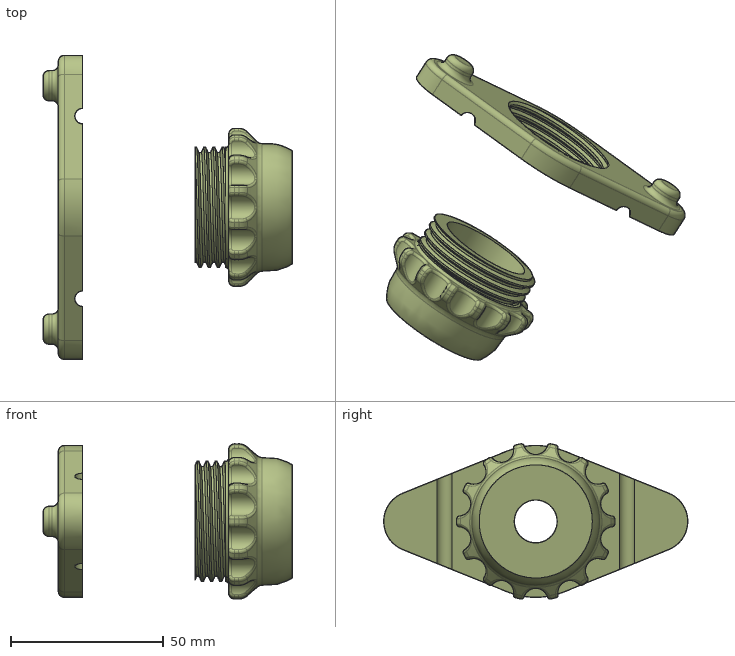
import cadquery as cq
import math

plate_thickness = 8.0
hub_radius = 25.0
ear_radius = 10.0
ear_offset = 40.0
plate_edge_fillet = 2.0

boss_radius = 5.0
boss_height = 5.0
boss_fillet = 2.0

groove_radius = 2.5
groove_offset = 30.0

thread_pitch = 3.0
thread_base_width = 2.2
thread_crest_width = 0.6
thread_root_overlap = 0.2
hole_minor_radius = 37.2 / 2
hole_major_radius = 40.5 / 2
plug_minor_radius = 36.2 / 2
plug_major_radius = 39.6 / 2
plug_crest_offset = 0.9

plug_start = 45.0
plug_length = 32.0
neck_length = 10.0
grip_start = 11.0
grip_radius = 26.0
grip_rim_length = 5.0
grip_cone_length = 5.0
grip_front_fillet = 2.0
grip_shoulder_fillet = 4.0
nose_blend_fillet = 2.5
nose_taper_length = 5.0
nose_middle_radius = 20.7
nose_end_radius = 18.6
nose_end_slope = (1, -0.6)

bore_radius = 15.0
bore_depth = 15.0
outlet_radius = 14.0 / 2

scallop_count = 14
scallop_radius = 4.0
scallop_floor_radius = 22.0
scallop_edge_fillet = 1.0

position_tolerance = 0.01


def axial_cylinder(start, length, radius, y=0.0, z=0.0):
    """Cylinder parallel to X."""
    return cq.Workplane("YZ", origin=(start, y, z)).circle(radius).extrude(length)


def thread_ridge(start, turns, root_radius, crest_radius):
    """Right-handed trapezoidal ridge around the X axis, starting at Z+ and overlapping its root cylinder."""
    flank_slope = (thread_base_width - thread_crest_width) / 2 / (crest_radius - root_radius)
    inner_half = thread_base_width / 2 + thread_root_overlap * flank_slope
    crest_half = thread_crest_width / 2
    inner_radius = root_radius - thread_root_overlap
    path = cq.Wire.makeHelix(
        thread_pitch, turns * thread_pitch, root_radius, cq.Vector(start, 0, 0), cq.Vector(1, 0, 0)
    )
    profile = [
        (start - inner_half, inner_radius),
        (start - crest_half, crest_radius),
        (start + crest_half, crest_radius),
        (start + inner_half, inner_radius),
    ]
    return cq.Workplane("XZ").polyline(profile).close().sweep(cq.Workplane(path), isFrenet=True)


def ring_edge(body, x, radius):
    """Circular edges of a given radius at a given X."""

    def is_ring(edge):
        return (
            edge.geomType() == "CIRCLE"
            and abs(edge.Center().x - x) < position_tolerance
            and abs(edge.radius() - radius) < position_tolerance
        )

    return body.edges().filter(is_ring)


def plate_blank():
    """Hub arc and two ear arcs joined by their common tangent lines."""
    lean = (hub_radius - ear_radius) / ear_offset
    rise = math.sqrt(1 - lean**2)
    hub_y, hub_z = hub_radius * lean, hub_radius * rise
    ear_y, ear_z = ear_offset + ear_radius * lean, ear_radius * rise
    ear_tip = ear_offset + ear_radius
    blank = (
        cq.Workplane("YZ")
        .moveTo(hub_y, hub_z)
        .lineTo(ear_y, ear_z)
        .threePointArc((ear_tip, 0), (ear_y, -ear_z))
        .lineTo(hub_y, -hub_z)
        .threePointArc((0, -hub_radius), (-hub_y, -hub_z))
        .lineTo(-ear_y, -ear_z)
        .threePointArc((-ear_tip, 0), (-ear_y, ear_z))
        .lineTo(-hub_y, hub_z)
        .threePointArc((0, hub_radius), (hub_y, hub_z))
        .close()
        .extrude(plate_thickness)
    )
    return blank.faces("<X").edges().fillet(plate_edge_fillet)


def build_plate():
    plate = plate_blank()
    for side in (-1, 1):
        boss = axial_cylinder(-boss_height, boss_height + plate_edge_fillet, boss_radius, y=side * ear_offset)
        plate = plate.union(boss)
        groove = (
            cq.Workplane("XY", origin=(plate_thickness, side * groove_offset, 0))
            .circle(groove_radius)
            .extrude(hub_radius, both=True)
        )
        plate = plate.cut(groove)
    plate = ring_edge(plate, 0, boss_radius).fillet(boss_fillet)
    plate = ring_edge(plate, -boss_height, boss_radius).fillet(boss_fillet)

    turns = plate_thickness / thread_pitch + 2
    tap_overrun = 2 * thread_pitch
    tap = axial_cylinder(-tap_overrun, plate_thickness + 2 * tap_overrun, hole_minor_radius)
    tap = tap.union(thread_ridge(-thread_pitch, turns, hole_minor_radius, hole_major_radius))
    return plate.cut(tap)


def grip_and_nose():
    """Turned body: a flared collar, the grip rim, a cone, and a nose that tapers in a smooth curve."""
    collar_start = plug_start + neck_length
    rim_front = plug_start + grip_start
    rim_back = rim_front + grip_rim_length
    cone_end = rim_back + grip_cone_length
    cone_end_radius = grip_radius - grip_cone_length
    nose_end = plug_start + plug_length
    nose_points = [(nose_end - nose_taper_length, nose_middle_radius), (nose_end, nose_end_radius)]

    collar_fillet = rim_front - collar_start
    half_chord = collar_fillet * math.sqrt(0.5)
    collar_mid = (collar_start + half_chord, plug_major_radius + collar_fillet - half_chord)

    body = (
        cq.Workplane("XY")
        .moveTo(collar_start, 0)
        .lineTo(collar_start, plug_major_radius)
        .threePointArc(collar_mid, (rim_front, plug_major_radius + collar_fillet))
        .lineTo(rim_front, grip_radius)
        .lineTo(rim_back, grip_radius)
        .lineTo(cone_end, cone_end_radius)
        .spline(nose_points, tangents=[(1, 0), nose_end_slope], includeCurrent=True)
        .lineTo(nose_end, 0)
        .close()
        .revolve(360, (0, 0, 0), (1, 0, 0))
    )
    body = ring_edge(body, cone_end, cone_end_radius).fillet(nose_blend_fillet)
    body = ring_edge(body, rim_back, grip_radius).fillet(grip_shoulder_fillet)
    return ring_edge(body, rim_front, grip_radius).fillet(grip_front_fillet)


def cut_scallops(body):
    """Finger scallops around the grip, the first at Z+, with rounded edges."""
    axis_radius = scallop_floor_radius + scallop_radius
    angles = [2 * math.pi * index / scallop_count for index in range(scallop_count)]
    axes = [(axis_radius * math.sin(angle), axis_radius * math.cos(angle)) for angle in angles]
    start = plug_start + grip_start
    for y, z in axes:
        body = body.cut(axial_cylinder(start, plug_length - grip_start, scallop_radius, y, z))

    def borders_scallop(edge):
        middle = edge.positionAt(0.5)
        axis_distance = min(math.hypot(middle.y - y, middle.z - z) for y, z in axes)
        return abs(axis_distance - scallop_radius) < position_tolerance

    return body.edges().filter(borders_scallop).fillet(scallop_edge_fillet)


def hollow():
    """Bore whose inner end is rounded all the way in to the smaller outlet."""
    bore_end = plug_start + bore_depth
    rounding = bore_radius - outlet_radius
    half_chord = rounding * math.sqrt(0.5)
    plug_end = plug_start + plug_length
    rounding_middle = (bore_end + half_chord, outlet_radius + half_chord)
    return (
        cq.Workplane("XY")
        .moveTo(plug_start, 0)
        .lineTo(plug_start, bore_radius)
        .lineTo(bore_end, bore_radius)
        .threePointArc(rounding_middle, (bore_end + rounding, outlet_radius))
        .lineTo(plug_end, outlet_radius)
        .lineTo(plug_end, 0)
        .close()
        .revolve(360, (0, 0, 0), (1, 0, 0))
    )


def build_plug():
    plug = cut_scallops(grip_and_nose())

    thread_start = plug_start + plug_crest_offset - thread_pitch
    turns = (neck_length + thread_pitch) / thread_pitch
    thread = thread_ridge(thread_start, turns, plug_minor_radius, plug_major_radius)
    thread = thread.intersect(axial_cylinder(plug_start, neck_length, grip_radius))
    neck = axial_cylinder(plug_start, neck_length, plug_minor_radius).union(thread)
    return plug.union(neck).cut(hollow())


plate = build_plate()
plug = build_plug()

result = cq.Compound.makeCompound([plate.val(), plug.val()])